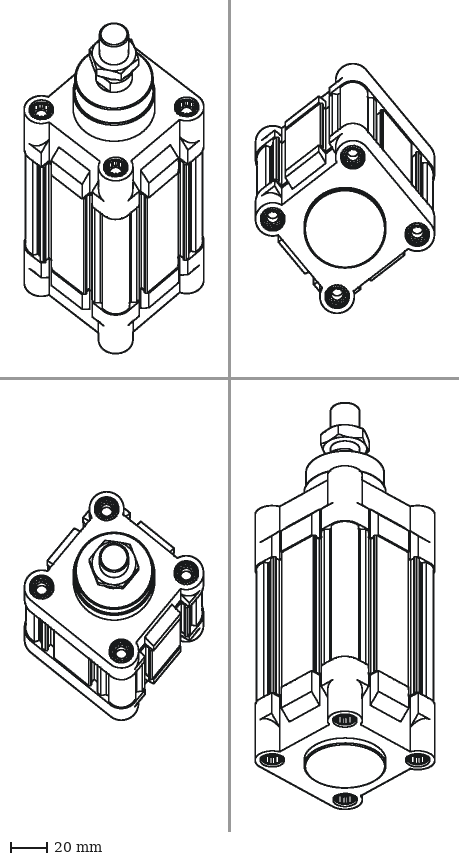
import cadquery as cq
import math

spigot_height = 4.0
head_height = 36.0
barrel_length = 89.0
boss_height = 15.7
cap_height = 12.8
collar_height = 8.5
thread_length = 32.0
rear_joint = spigot_height + head_height
front_joint = rear_joint + barrel_length
front_face = front_joint + head_height
cap_top = front_face + boss_height + cap_height
collar_top = cap_top + collar_height

head_size = 75.5
head_half = head_size / 2
core_half = 31.5
screw_offset = 28.25
corner_radius = head_half - screw_offset
recess_depth = head_half - core_half
corner_pad_inner = screw_offset - math.sqrt(corner_radius**2 - (core_half - screw_offset) ** 2)
centre_pad_half = 11.8
pad_height = 13.6

screw_well_radius = 13.2 / 2
screw_well_depth = 4.0
knurl_count = 24
knurl_outer_radius = 6.4
knurl_inner_radius = 12.0 / 2
screw_top_depth = 0.6
screw_top_radius = 5.3
drive_count = 12
drive_outer_radius = 5.0
drive_inner_radius = 8.0 / 2
drive_depth = 5.0
drill_diameter = 6.65
drill_depth = 14.0
drill_tip_angle = 118.0
drill_cone_depth = drill_diameter / 2 / math.tan(math.radians(drill_tip_angle / 2))

barrel_half = 37.0
barrel_corner_radius = barrel_half - screw_offset
slot_centre = 15.45
slot_mouth_half = 2.45
slot_inner_half = 3.15
slot_edge = slot_inner_half - slot_mouth_half
lip_depth = 1.6
slot_depth = 4.6
notch_inner = 20.8
notch_bend = 22.9
notch_root = 24.4
notch_wall = 25.0
notch_outer = 26.3
notch_bend_depth = 2.1
notch_root_depth = 2.6
notch_wall_depth = 2.1

boss_diameter = 45.0
cap_diameter = 43.0
edge_chamfer = 0.7

rod_diameter = 20.0
rod_thread_diameter = 16.0
thread_tip_diameter = 14.38
thread_root_diameter = 14.95
flats_width = 17.0
rod_seat = front_joint
nut_width = 24.0
nut_height = 8.0
nut_standoff = 6.3
nut_bottom = collar_top + nut_standoff
nut_corner_diameter = nut_width / math.cos(math.pi / 6)
nut_chamfer_angle = 30.0


def cylinder(diameter, bottom, height):
    return cq.Workplane("XY").workplane(offset=bottom).circle(diameter / 2).extrude(height)


def screw_points():
    signs = (-1, 1)
    return [(sx * screw_offset, sy * screw_offset) for sx in signs for sy in signs]


def pad(x_start, x_end):
    """Raised pad on the -Y recess of a head, with a 45 degree upper end."""
    side = [
        (-core_half, 0),
        (-head_half, 0),
        (-head_half, pad_height),
        (-core_half, pad_height + recess_depth),
    ]
    return cq.Workplane("YZ").workplane(offset=x_start).polyline(side).close().extrude(x_end - x_start)


def toothed_outline(outer_radius, inner_radius, count):
    """Ring of pointed teeth, as a closed list of points."""
    points = []
    for step in range(2 * count):
        radius = inner_radius if step % 2 else outer_radius
        angle = math.pi * step / count
        points.append((radius * math.cos(angle), radius * math.sin(angle)))
    return points


def screw_head():
    """Knurled screw head with a conical bevel around its top."""
    bevel = knurl_outer_radius - screw_top_radius
    half_outline = [
        (0, -screw_well_depth),
        (knurl_outer_radius, -screw_well_depth),
        (knurl_outer_radius, -screw_top_depth - bevel),
        (screw_top_radius, -screw_top_depth),
        (0, -screw_top_depth),
    ]
    envelope = cq.Workplane("XZ").polyline(half_outline).close().revolve(360, (0, 0), (0, 1))
    knurl = toothed_outline(knurl_outer_radius, knurl_inner_radius, knurl_count)
    return cq.Workplane("XY").polyline(knurl).close().extrude(-screw_well_depth).intersect(envelope)


def screw_cavity():
    """Well around a sunk screw head, with its toothed drive and the drilled bore below."""
    well = cq.Workplane("XY").circle(screw_well_radius).extrude(-screw_well_depth)
    drive_teeth = toothed_outline(drive_outer_radius, drive_inner_radius, drive_count)
    drive = cq.Workplane("XY").polyline(drive_teeth).close().extrude(-drive_depth)
    bore_outline = [
        (0, 0),
        (drill_diameter / 2, 0),
        (drill_diameter / 2, -drill_depth),
        (0, -drill_depth - drill_cone_depth),
    ]
    bore = cq.Workplane("XZ").polyline(bore_outline).close().revolve(360, (0, 0), (0, 1))
    return well.cut(screw_head()).union(drive).union(bore)


def make_head():
    """Head standing on its barrel joint at Z = 0, recessed on three sides and flush on +Y."""
    head = cq.Workplane("XY").rect(2 * core_half, 2 * core_half).extrude(head_height)
    port_side = (
        cq.Workplane("XY")
        .center(0, head_half / 2)
        .rect(2 * screw_offset, head_half)
        .extrude(head_height)
    )
    corners = cq.Workplane("XY").pushPoints(screw_points()).circle(corner_radius).extrude(head_height)
    head = head.union(port_side).union(corners)
    pads = [
        pad(-centre_pad_half, centre_pad_half),
        pad(corner_pad_inner, screw_offset),
        pad(-screw_offset, -corner_pad_inner),
    ]
    for turn in (-90, 0, 90):
        for block in pads:
            head = head.union(block.rotate((0, 0, 0), (0, 0, 1), turn))
    cavity = screw_cavity()
    for x, y in screw_points():
        head = head.cut(cavity.translate((x, y, head_height)))
    return head


def slot_outline():
    """T-slot in the -Y barrel face with bevelled lips."""
    half = [
        (slot_inner_half, 0),
        (slot_mouth_half, slot_edge),
        (slot_mouth_half, lip_depth),
        (slot_inner_half, lip_depth),
        (slot_inner_half, slot_depth),
    ]
    other_half = [(-u, depth) for u, depth in reversed(half)]
    return [(slot_centre + u, depth - barrel_half) for u, depth in half + other_half]


def notch_outline():
    """Small asymmetric notch in the -Y barrel face, between the T-slot and the barrel corner."""
    return [
        (notch_inner, -barrel_half),
        (notch_bend, notch_bend_depth - barrel_half),
        (notch_root, notch_root_depth - barrel_half),
        (notch_wall, notch_wall_depth - barrel_half),
        (notch_outer, -barrel_half),
    ]


def make_barrel():
    barrel = (
        cq.Workplane("XY")
        .rect(2 * barrel_half, 2 * barrel_half)
        .extrude(barrel_length)
        .edges("|Z")
        .fillet(barrel_corner_radius)
    )
    for outline in (slot_outline(), notch_outline()):
        groove = cq.Workplane("XY").polyline(outline).close().extrude(barrel_length)
        for cutter in (groove, groove.mirror("YZ")):
            for turn in (0, 90, 180, 270):
                barrel = barrel.cut(cutter.rotate((0, 0, 0), (0, 0, 1), turn))
    return barrel.translate((0, 0, rear_joint))


def make_housing():
    head = make_head()
    spigot = cylinder(boss_diameter, 0, spigot_height).faces("<Z").chamfer(edge_chamfer)
    boss = cylinder(boss_diameter, front_face, boss_height).faces(">Z").chamfer(edge_chamfer)
    cap = cylinder(cap_diameter, front_face, boss_height + cap_height).faces(">Z").chamfer(edge_chamfer)
    housing = make_barrel().union(head.translate((0, 0, front_joint)))
    housing = housing.union(head.mirror("XY").translate((0, 0, rear_joint)))
    housing = housing.union(spigot).union(boss).union(cap)
    return housing.cut(cylinder(rod_diameter, rod_seat, cap_top - rod_seat))


def make_rod():
    """Piston rod with wrench flats facing +Y and -Y and a threaded end."""
    shaft = cylinder(rod_diameter, rod_seat, collar_top - rod_seat)
    flats = (
        cq.Workplane("XY")
        .workplane(offset=cap_top)
        .rect(2 * rod_diameter, 2 * rod_diameter)
        .rect(2 * rod_diameter, flats_width)
        .extrude(collar_height)
    )
    tip_chamfer = (rod_thread_diameter - thread_tip_diameter) / 2
    root_chamfer = (rod_thread_diameter - thread_root_diameter) / 2
    thread = cylinder(rod_thread_diameter, collar_top, thread_length)
    thread = thread.faces(">Z").chamfer(tip_chamfer).faces("<Z").chamfer(root_chamfer)
    return shaft.cut(flats).union(thread)


def make_nut():
    """Hexagon nut with corners on the Y axis and conical bevels on both ends."""
    nut_corner_radius = nut_corner_diameter / 2
    bevel = (nut_corner_radius - nut_width / 2) * math.tan(math.radians(nut_chamfer_angle))
    half_outline = [
        (0, nut_bottom),
        (nut_width / 2, nut_bottom),
        (nut_corner_radius, nut_bottom + bevel),
        (nut_corner_radius, nut_bottom + nut_height - bevel),
        (nut_width / 2, nut_bottom + nut_height),
        (0, nut_bottom + nut_height),
    ]
    hexagon = (
        cq.Workplane("XY")
        .workplane(offset=nut_bottom)
        .transformed(rotate=(0, 0, 90))
        .polygon(6, nut_corner_diameter)
        .extrude(nut_height)
    )
    envelope = cq.Workplane("XZ").polyline(half_outline).close().revolve(360, (0, 0), (0, 1))
    return hexagon.intersect(envelope).cut(cylinder(rod_thread_diameter, nut_bottom, nut_height))


housing = make_housing()
rod = make_rod()
nut = make_nut()

result = cq.Compound.makeCompound([housing.val(), rod.val(), nut.val()])